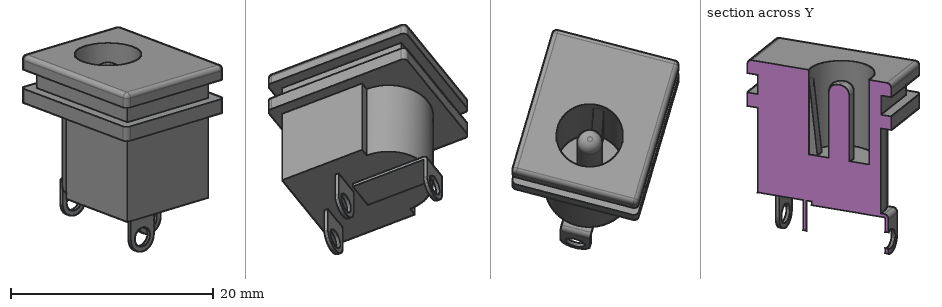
import cadquery as cq

flange_length = 15.7
flange_width = 13.0
flange_thickness = 1.5
corner_radius = 0.5
groove_height = 2.0

body_length = 13.5
body_width = 10.75
lower_body_height = 9.0
barrel_radius = 4.43
barrel_x = barrel_radius - body_length / 2

lower_flange_top = lower_body_height + flange_thickness
upper_flange_bottom = lower_flange_top + groove_height
top_z = upper_flange_bottom + flange_thickness

bore_x = -2.16
bore_diameter = 6.6
bore_depth = 9.0
pin_diameter = 2.5
pin_tip_depth = 1.0
pin_tip_flat_diameter = 0.51
contact_width = 1.06
contact_reach = 0.93
contact_start_depth = 0.97

lead_thickness = 0.4
lead_width = 3.05
lead_hole_diameter = 2.0
lead_tip_z = top_z - 18.3
bend_radius = 0.5
bent_lead_left_x = -7.55
bent_lead_right_x = 0.86
side_lead_y = 2.0
inner_lead_x = 1.57
outer_lead_x = 5.01


def block(x_min, x_max, width, z_min, z_max):
    """Box spanning the given X and Z ranges, centred on Y = 0."""
    box = cq.Workplane("XY").box(x_max - x_min, width, z_max - z_min, centered=(False, True, False))
    return box.translate((x_min, 0, z_min))


def flange(bottom_z):
    plate = cq.Workplane("XY", origin=(0, 0, bottom_z)).rect(flange_length, flange_width)
    return plate.extrude(flange_thickness).edges("|Z").fillet(corner_radius)


def housing():
    half_length = body_length / 2
    barrel = cq.Workplane("XY", origin=(barrel_x, 0, 0)).circle(barrel_radius).extrude(lower_body_height)
    lower_block = block(barrel_x, half_length, body_width, 0, lower_body_height)
    neck = block(-half_length, half_length, body_width, lower_flange_top, upper_flange_bottom)
    upper_flange = flange(upper_flange_bottom).faces(">Z").edges().fillet(corner_radius)
    lower_flange = flange(lower_body_height)
    return barrel.union(lower_block).union(lower_flange).union(neck).union(upper_flange)


def socket_bore():
    floor = cq.Workplane("XY", origin=(bore_x, 0, top_z - bore_depth))
    return floor.circle(bore_diameter / 2).extrude(bore_depth)


def pin():
    """Round pin with a domed tip that ends in a small flat."""
    floor = cq.Workplane("XY", origin=(bore_x, 0, top_z - bore_depth))
    shaft = floor.circle(pin_diameter / 2).extrude(bore_depth - pin_tip_depth)
    dome_radius = (pin_diameter - pin_tip_flat_diameter) / 2
    return shaft.faces(">Z").edges().fillet(dome_radius)


def spring_contact():
    """Wedge that leans into the bore, widest at the bore floor and rooted in the wall."""
    wall_x = bore_x + bore_diameter / 2
    floor_z = top_z - bore_depth
    start_z = top_z - contact_start_depth
    profile = [
        (wall_x - contact_reach, floor_z),
        (wall_x, start_z),
        (wall_x + lead_thickness, start_z),
        (wall_x + lead_thickness, floor_z),
    ]
    return cq.Workplane("XZ").polyline(profile).close().extrude(contact_width / 2, both=True)


def solder_tab(center_x, center_y):
    """Upright strip below the housing with a rounded, drilled end."""
    eye_z = lead_tip_z + lead_width / 2
    side = cq.Workplane("YZ", origin=(center_x, center_y, eye_z))
    strip = side.center(0, -eye_z / 2).rect(lead_width, -eye_z).extrude(lead_thickness / 2, both=True)
    rounded_end = side.circle(lead_width / 2).extrude(lead_thickness / 2, both=True)
    eye = side.circle(lead_hole_diameter / 2).extrude(lead_thickness, both=True)
    return strip.union(rounded_end).cut(eye)


def bent_lead():
    """Drilled tab that bends into a flat strip lying against the housing bottom."""
    strip = block(bent_lead_left_x, bent_lead_right_x, lead_width, -lead_thickness, 0)
    lead = strip.union(solder_tab(bent_lead_left_x + lead_thickness / 2, 0))
    lead = lead.edges(cq.selectors.NearestToPointSelector((bent_lead_left_x, 0, 0))).fillet(bend_radius)
    inner_corner = (bent_lead_left_x + lead_thickness, 0, -lead_thickness)
    inner_edge = cq.selectors.NearestToPointSelector(inner_corner)
    return lead.edges(inner_edge).fillet(bend_radius - lead_thickness)


result = housing().cut(socket_bore()).union(pin()).union(spring_contact()).union(bent_lead())
for lead_x, lead_y in [(inner_lead_x, side_lead_y), (outer_lead_x, -side_lead_y)]:
    result = result.union(solder_tab(lead_x, lead_y))